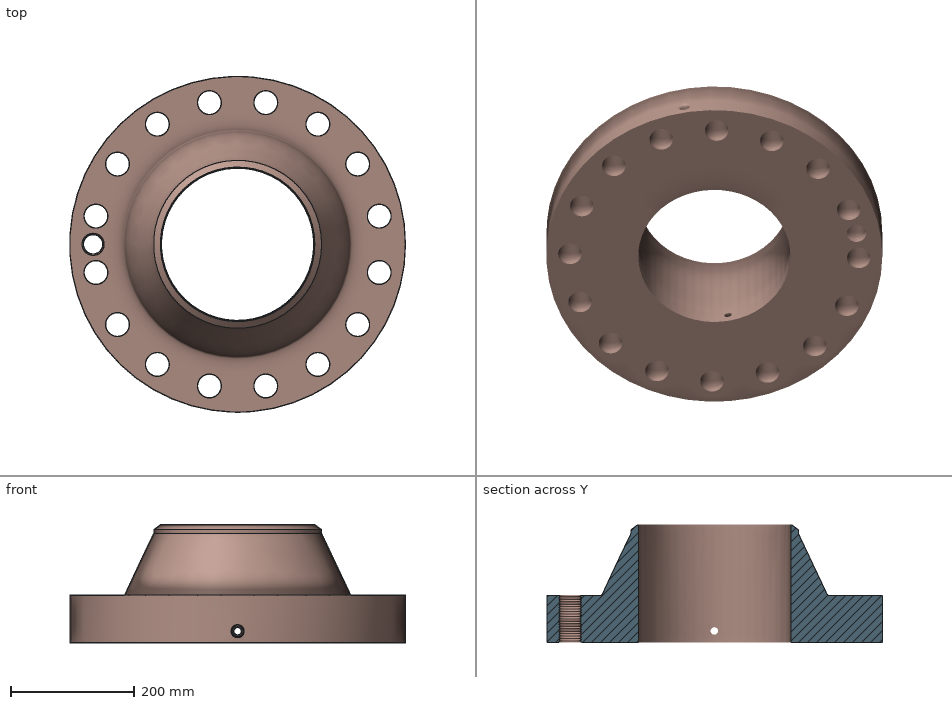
import cadquery as cq
import math

flange_diameter = 546.0
flange_thickness = 77.5
total_height = 192.0

hub_base_diameter = 368.0
hub_blend_radius = 3.5
neck_diameter = 273.0
neck_start_height = 178.0
bevel_start_height = 184.0
weld_land_diameter = 251.0
bore_diameter = 247.5

bolt_count = 16
bolt_circle_diameter = 469.5
bolt_hole_diameter = 38.0

jack_minor_diameter = 31.0
jack_major_diameter = 36.0
jack_thread_pitch = 4.0

tap_height = 19.0
tap_drill_diameter = 12.0
tap_thread_turns = 12
tap_minor_diameter = 17.5
tap_major_diameter = 21.5
tap_thread_pitch = 1.8


def make_body():
    """Revolve the flange and hub, then blend the hub into the flange."""
    flange_radius = flange_diameter / 2
    profile = (
        cq.Workplane("XZ")
        .moveTo(bore_diameter / 2, 0)
        .lineTo(flange_radius, 0)
        .lineTo(flange_radius, flange_thickness)
        .lineTo(hub_base_diameter / 2, flange_thickness)
        .lineTo(neck_diameter / 2, neck_start_height)
        .lineTo(neck_diameter / 2, bevel_start_height)
        .lineTo(weld_land_diameter / 2, total_height)
        .lineTo(bore_diameter / 2, total_height)
        .close()
    )
    body = profile.revolve(360, (0, 0, 0), (0, 1, 0))
    flange_top = body.faces("|Z").faces(">Z[-2]")
    hub_base_edge = flange_top.edges(cq.selectors.RadiusNthSelector(0))
    return hub_base_edge.fillet(hub_blend_radius)


def thread_cutter(minor_diameter, major_diameter, pitch, turns):
    """Solid running along +Z from a mouth at the origin, with one V-shaped ring per thread turn."""
    minor_radius = minor_diameter / 2
    major_radius = major_diameter / 2
    outline = cq.Workplane("XZ")
    for turn in range(turns):
        outline = outline.lineTo(major_radius, turn * pitch)
        outline = outline.lineTo(minor_radius, (turn + 0.5) * pitch)
    outline = outline.lineTo(0, (turns - 0.5) * pitch).close()
    return outline.revolve(360, (0, 0, 0), (0, 1, 0))


def make_bolt_holes():
    """Through holes straddling the X and Y axes."""
    half_step = 180 / bolt_count
    return (
        cq.Workplane("XY")
        .polarArray(bolt_circle_diameter / 2, half_step, 360, bolt_count)
        .circle(bolt_hole_diameter / 2)
        .extrude(flange_thickness)
    )


def make_jack_hole():
    """Threaded through hole on the -X side, with its mouth on the top of the flange."""
    turns = math.ceil(flange_thickness / jack_thread_pitch) + 1
    thread = thread_cutter(jack_minor_diameter, jack_major_diameter, jack_thread_pitch, turns)
    downward = thread.rotate((0, 0, 0), (1, 0, 0), 180)
    return downward.translate((-bolt_circle_diameter / 2, 0, flange_thickness))


def make_pressure_taps():
    """One drill through both walls, with a threaded mouth at each rim."""
    drill = (
        cq.Workplane("XZ", origin=(0, flange_diameter / 2, tap_height))
        .circle(tap_drill_diameter / 2)
        .extrude(flange_diameter)
    )
    thread = thread_cutter(tap_minor_diameter, tap_major_diameter, tap_thread_pitch, tap_thread_turns)
    front_mouth = thread.rotate((0, 0, 0), (1, 0, 0), -90).translate((0, -flange_diameter / 2, tap_height))
    rear_mouth = front_mouth.mirror("XZ")
    return drill.union(front_mouth).union(rear_mouth)


result = make_body().cut(make_bolt_holes()).cut(make_jack_hole()).cut(make_pressure_taps())